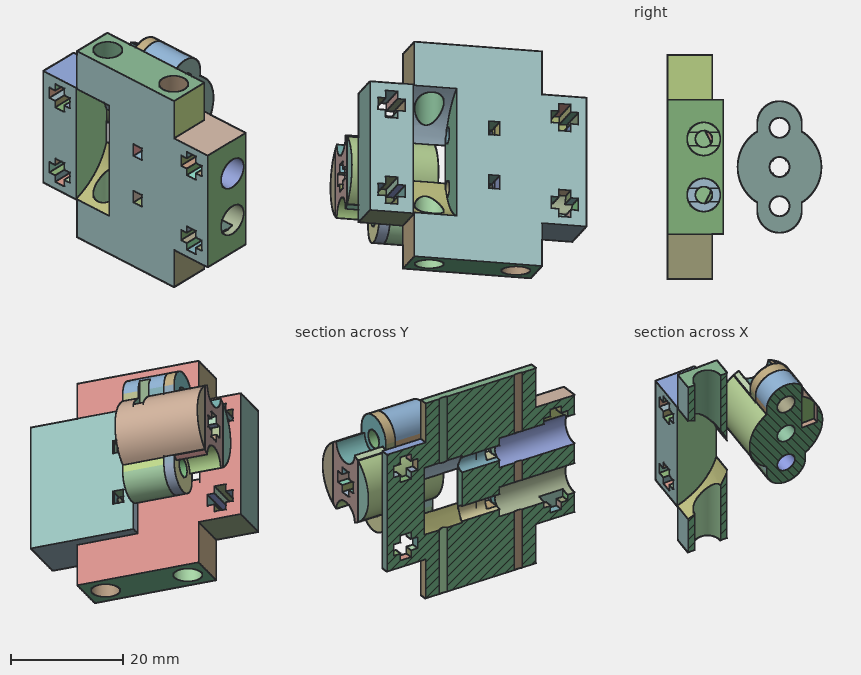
import cadquery as cq

block_size = 40.0
block_depth = 8.0
column_width = 23.6
beam_height = 24.0
pad_depth = 10.0

post_bore_diameter = 5.2
post_bore_x = 8.0
post_bore_y = block_depth / 2

axle_size = 5.0
axle_arm = 2.2
axle_hole_x = 16.0
axle_hole_z = 8.0

sweep_diameter = 25.0
sweep_axis_y = -4.0
sweep_right = -4.0
sweep_width = 8.0

shaft_hole_diameter = 3.0
socket_diameter = 5.9
socket_start = 4.0
shaft_y = 6.5
shaft_z = 5.0

window_width = 2.05
window_height = 2.5
window_x = 2.95

rotor_left = -20.0
rotor_length = 16.0
rotor_y = 20.0
drum_diameter = 15.0
lobe_width = 8.0
lobe_span = 23.5
rotor_hole_diameter = 3.5
rotor_hole_offset = 7.0

insert_length = 8.0
insert_clearance = 0.1
scallop_diameter = 6.0
scallop_length = 6.0

notch_width = 2.0
notch_x = -8.0
notch_inner = 3.25
notch_outer = 6.3

rotor_right = rotor_left + rotor_length
insert_right = rotor_left + insert_length
scallop_right = rotor_left + scallop_length


def box(x_range, y_range, z_range):
    """A box between two limits on each axis."""
    size = [high - low for low, high in (x_range, y_range, z_range)]
    corner = (x_range[0], y_range[0], z_range[0])
    return cq.Workplane("XY").box(*size, centered=False).translate(corner)


def rod(diameter, x_start, x_end, y, z):
    """A cylinder along X."""
    return cq.Workplane("YZ", origin=(x_start, y, z)).circle(diameter / 2).extrude(x_end - x_start)


def axle_cross(workplane, length):
    """A prism with the section of a cross-shaped axle, extruded from the workplane's origin."""
    upright = workplane.rect(axle_arm, axle_size).extrude(length)
    level = workplane.rect(axle_size, axle_arm).extrude(length)
    return upright.union(level)


def capsule(width, x_start, x_end):
    """An upright bar with rounded ends, centred on the rotor axis; its end arcs keep their centres."""
    span = lobe_span + width - lobe_width
    plane = cq.Workplane("YZ", origin=(x_start, rotor_y, 0))
    return plane.slot2D(span, width, angle=90).extrude(x_end - x_start)


def housing_block():
    half = block_size / 2
    column = box((-column_width / 2, column_width / 2), (0, block_depth), (-half, half))
    beam = box((-half, half), (0, block_depth), (-beam_height / 2, beam_height / 2))
    pad = box((0, half), (0, pad_depth), (-beam_height / 2, beam_height / 2))
    return column.union(beam).union(pad)


def sweep_pocket():
    """The pocket breaks through the back of the block around Z = 0."""
    sweep = rod(sweep_diameter, sweep_right - sweep_width, sweep_right, sweep_axis_y, 0)
    limit = box((-block_size, block_size), (0, block_depth), (-block_size, block_size))
    return sweep.intersect(limit)


def build_housing():
    body = housing_block().cut(sweep_pocket())
    for side in (-1, 1):
        post_bore = (
            cq.Workplane("XY", origin=(side * post_bore_x, post_bore_y, -block_size / 2))
            .circle(post_bore_diameter / 2)
            .extrude(block_size)
        )
        body = body.cut(post_bore)
        for level in (-1, 1):
            plane = cq.Workplane("XZ", origin=(side * axle_hole_x, 0, level * axle_hole_z))
            body = body.cut(axle_cross(plane, -block_depth))
    for level in (-1, 1):
        z = level * shaft_z
        shaft_hole = rod(shaft_hole_diameter, sweep_right, socket_start, shaft_y, z)
        socket = rod(socket_diameter, socket_start, block_size / 2, shaft_y, z)
        window = (
            cq.Workplane("XZ", origin=(window_x, 0, z))
            .rect(window_width, window_height)
            .extrude(-pad_depth)
        )
        body = body.cut(shaft_hole).cut(socket).cut(window)
    return body


def build_carrier():
    """Drum with two lobes behind a slot that takes the insert."""
    drum = rod(drum_diameter, rotor_left, rotor_right, rotor_y, 0)
    slot = capsule(lobe_width + 2 * insert_clearance, rotor_left, insert_right)
    body = drum.cut(slot).union(capsule(lobe_width, insert_right, rotor_right))
    for z in (-rotor_hole_offset, 0, rotor_hole_offset):
        body = body.cut(rod(rotor_hole_diameter, insert_right, rotor_right, rotor_y, z))
    notch = box(
        (notch_x - notch_width / 2, notch_x + notch_width / 2),
        (rotor_y + notch_inner, rotor_y + notch_outer),
        (0, lobe_span / 2),
    )
    return body.cut(notch)


def build_insert():
    """Bar that fills the carrier's slot: lobes at its back, drum outline and scallops at its front."""
    front = capsule(lobe_width, rotor_left, scallop_right)
    front = front.intersect(rod(drum_diameter, rotor_left, scallop_right, rotor_y, 0))
    body = front.union(capsule(lobe_width, scallop_right, insert_right))
    for z in (-rotor_hole_offset, rotor_hole_offset):
        body = body.cut(rod(scallop_diameter, rotor_left, scallop_right, rotor_y, z))
        body = body.cut(rod(rotor_hole_diameter, scallop_right, insert_right, rotor_y, z))
    return body.cut(axle_cross(cq.Workplane("YZ", origin=(rotor_left, rotor_y, 0)), insert_length))


housing = build_housing()
carrier = build_carrier()
insert = build_insert()

result = cq.Compound.makeCompound([body.solids().val() for body in (housing, carrier, insert)])